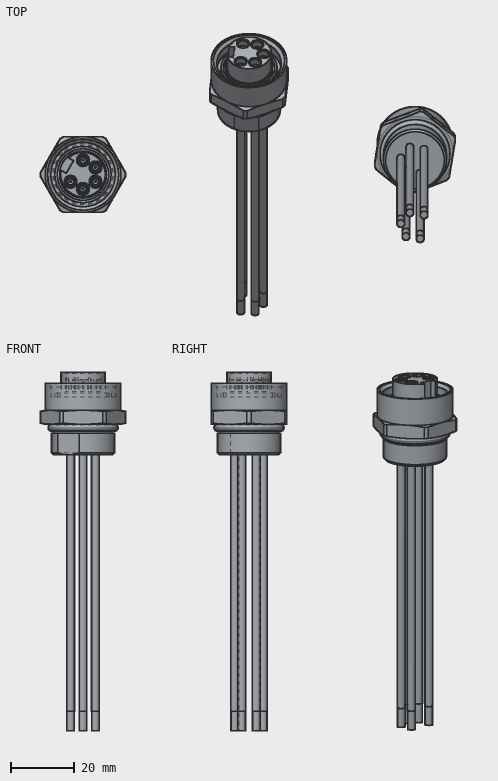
import cadquery as cq
import math

overall_height = 113.7
rim_z = -3.5
hex_top_z = -12.1
hex_bottom_z = -16.5
stem_bottom_z = -26.2

hex_sides = 6
hex_across_flats = 24.0
hex_across_corners = 27.0
hex_chamfer_height = 0.35

shell_diameter = 24.0
lead_in_diameter = 22.6
cavity_diameter = 20.4
lead_in_depth = (lead_in_diameter - cavity_diameter) / 2
cavity_depth = 4.3
seat_z = rim_z - cavity_depth

lip_outer_diameter = 17.8
lip_inner_diameter = 16.3
lip_height = 1.2

insert_diameter = 14.1
collar_diameter = 14.9
contact_circle_radius = 4.55
contact_angles = (-150, -90, -30, 30, 90)
contact_hole_diameter = 3.3
contact_hole_chamfer = 0.35
contact_hole_depth = 6.0
contact_diameter = 2.6
contact_bore_diameter = 0.4
contact_countersink_diameter = 2.0
contact_height = 3.8
contact_countersink_angle = 90
contact_bore_depth = 3.0

key_angle = 150
key_width = 4.6
key_floor_radius = 4.8
key_depth = 6.5

stem_diameter = 20.0
stem_top_z = -19.3
stem_chamfer = 0.7
stem_flat_angle = 240
stem_flat_distance = 9.2
neck_diameter = 19.0
outer_ring_section = 2.2
outer_ring_diameter = 22.2

wire_diameter = 2.5
wire_end_length = 6.2
wire_end_diameter = 2.46


def cylinder(diameter, bottom_z, top_z):
    return cq.Workplane("XY").workplane(offset=bottom_z).circle(diameter / 2).extrude(top_z - bottom_z)


def cone(bottom_diameter, top_diameter, bottom_z, top_z):
    bottom = cq.Workplane("XY").workplane(offset=bottom_z).circle(bottom_diameter / 2)
    return bottom.workplane(offset=top_z - bottom_z).circle(top_diameter / 2).loft()


def ring(section_diameter, centre_radius, centre_z):
    profile = cq.Workplane("XZ").center(centre_radius, centre_z).circle(section_diameter / 2)
    return profile.revolve(360, (-centre_radius, 0, 0), (-centre_radius, 1, 0))


def contact_points():
    return [
        (
            contact_circle_radius * math.cos(math.radians(angle)),
            contact_circle_radius * math.sin(math.radians(angle)),
        )
        for angle in contact_angles
    ]


def make_hex_flange():
    corner_diameter = hex_across_flats / math.cos(math.radians(180 / hex_sides))
    height = hex_top_z - hex_bottom_z
    base = cq.Workplane("XY").workplane(offset=hex_bottom_z)
    prism = base.polygon(hex_sides, corner_diameter).extrude(height)
    chamfer_width = (hex_across_corners - hex_across_flats) / 2
    turned = cylinder(hex_across_corners, hex_bottom_z, hex_top_z)
    turned = turned.faces("<Z or >Z").chamfer(hex_chamfer_height, chamfer_width)
    return prism.intersect(turned)


def make_shell():
    shell = cylinder(shell_diameter, hex_top_z, rim_z)
    cavity = cylinder(cavity_diameter, seat_z, rim_z)
    lead_in = cone(cavity_diameter, lead_in_diameter, rim_z - lead_in_depth, rim_z)
    lip = cylinder(lip_outer_diameter, seat_z, seat_z + lip_height)
    lip = lip.cut(cylinder(lip_inner_diameter, seat_z, seat_z + lip_height))
    return shell.cut(cavity).cut(lead_in).union(lip)


def make_insert():
    insert = cylinder(insert_diameter, hex_top_z, 0)
    keyway_length = insert_diameter / 2 - key_floor_radius
    keyway = (
        cq.Workplane("XY")
        .box(2 * keyway_length, key_width, key_depth, centered=(False, True, False))
        .translate((key_floor_radius, 0, -key_depth))
        .rotate((0, 0, 0), (0, 0, 1), key_angle)
    )
    hole = cylinder(contact_hole_diameter, -contact_hole_depth, 0)
    mouth_diameter = contact_hole_diameter + 2 * contact_hole_chamfer
    hole = hole.union(cone(contact_hole_diameter, mouth_diameter, -contact_hole_chamfer, 0))
    contact_top_z = contact_height - contact_hole_depth
    contact = cylinder(contact_diameter, -contact_hole_depth, contact_top_z)
    contact = (
        contact.faces(">Z")
        .workplane()
        .cskHole(
            contact_bore_diameter,
            contact_countersink_diameter,
            contact_countersink_angle,
            contact_bore_depth,
        )
    )
    insert = insert.cut(keyway).union(cylinder(collar_diameter, hex_top_z, -key_depth))
    for x, y in contact_points():
        insert = insert.cut(hole.translate((x, y, 0))).union(contact.translate((x, y, 0)))
    return insert


def make_stem():
    stem = cylinder(stem_diameter, stem_bottom_z, stem_top_z).faces("<Z").chamfer(stem_chamfer)
    flat_cutter = (
        cq.Workplane("XY")
        .box(stem_diameter, stem_diameter, stem_top_z - stem_bottom_z, centered=(False, True, False))
        .translate((stem_flat_distance, 0, stem_bottom_z))
        .rotate((0, 0, 0), (0, 0, 1), stem_flat_angle)
    )
    neck = cylinder(neck_diameter, stem_top_z, hex_bottom_z)
    ring_radius = (outer_ring_diameter - outer_ring_section) / 2
    outer_ring = ring(outer_ring_section, ring_radius, hex_bottom_z - outer_ring_section / 2)
    return stem.cut(flat_cutter).union(neck).union(outer_ring)


def make_wire(x, y):
    wire_bottom_z = -overall_height
    wire_end_top_z = wire_bottom_z + wire_end_length
    wire = cylinder(wire_diameter, wire_end_top_z, stem_bottom_z)
    wire_end = cylinder(wire_end_diameter, wire_bottom_z, wire_end_top_z)
    return wire.union(wire_end).translate((x, y, 0))


result = make_shell().union(make_hex_flange()).union(make_insert()).union(make_stem())
for wire_x, wire_y in contact_points():
    result = result.union(make_wire(wire_x, wire_y))